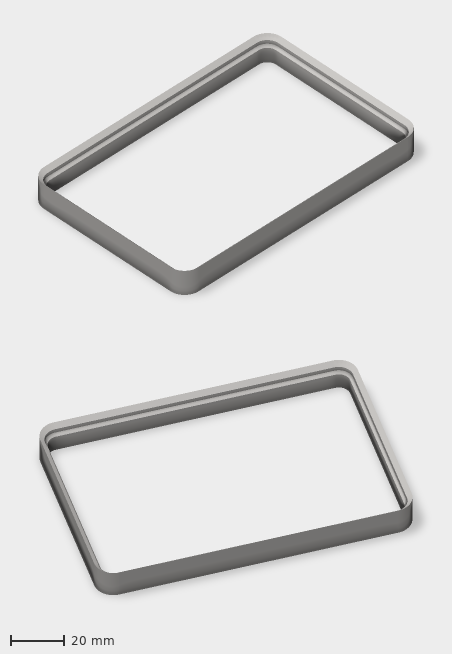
import cadquery as cq

width = 83.0
length = 125.0
height = 11.8
corner_radius = 7.5

upper_slope = 1.9
step_height = 1.8
lower_slope = 1.1

upper_slope_base = height - upper_slope
lower_slope_top = upper_slope_base - step_height
lower_slope_base = lower_slope_top - lower_slope


def frame_section():
    """Wall section at the +X side, standing in the XZ plane."""
    outer = width / 2
    step_face = outer - upper_slope
    inner_face = step_face - lower_slope
    return (
        cq.Workplane("XZ")
        .moveTo(outer, 0)
        .lineTo(outer, height)
        .lineTo(step_face, upper_slope_base)
        .lineTo(step_face, lower_slope_top)
        .lineTo(inner_face, lower_slope_base)
        .lineTo(inner_face, 0)
        .close()
    )


def outer_path():
    """Rounded rectangle along the bottom outer edge of the frame."""
    half_width = width / 2
    straight_x = half_width - corner_radius
    half_length = length / 2
    straight_y = half_length - corner_radius
    return (
        cq.Workplane("XY")
        .moveTo(half_width, 0)
        .lineTo(half_width, straight_y)
        .tangentArcPoint((straight_x, half_length), relative=False)
        .lineTo(-straight_x, half_length)
        .tangentArcPoint((-half_width, straight_y), relative=False)
        .lineTo(-half_width, -straight_y)
        .tangentArcPoint((-straight_x, -half_length), relative=False)
        .lineTo(straight_x, -half_length)
        .tangentArcPoint((half_width, -straight_y), relative=False)
        .close()
    )


result = frame_section().sweep(outer_path())